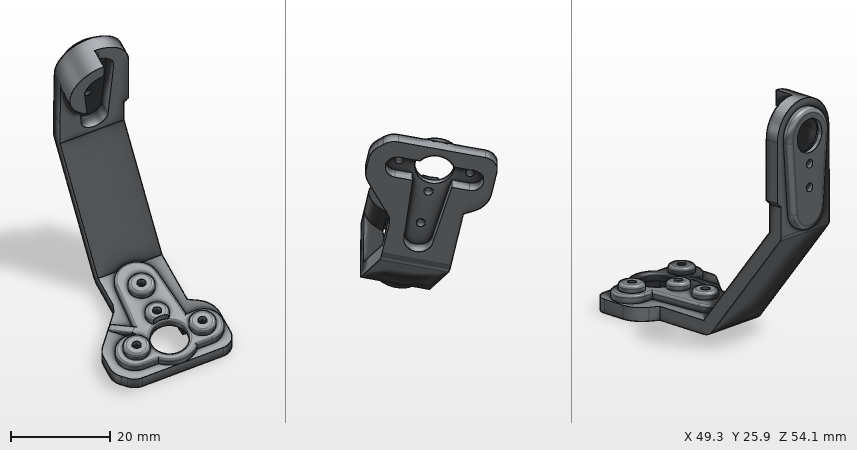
import cadquery as cq
import math

total_height = 54.05
base_end_x = 47.5
plate_thickness = 3.15
base_thickness = 2.95

strap_back_y = 7.6
strap_front_y = -6.55
inner_knee_z = 26.35
inner_foot_x = 21.45
strap_thickness = 3.0
upper_bend_radius = 1.5
lower_bend_radius = 2.95

upright_y = 1.15
upright_radius = 7.5
upright_hole_z = total_height - upright_radius
upright_flat_end_z = 33.45
upright_hole_diameter = 7.2
upright_recess_diameter = 8.0
upright_recess_depth = 0.75
upright_pin_drops = (6.0, 11.0)

collar_end_x = 7.5

pad_large_radius = 5.85
pad_small_radius = 4.6
pad_length = 15.6
pad_wall = 1.6
upright_pad_height = 1.8
upright_pad_fillet = 1.0
base_pad_height = 1.7
base_pad_fillet = 0.5

cross_arm_radius = 4.0
cross_arm_reach = 7.7

hub_x = base_end_x - pad_large_radius
hub_hole_diameter = 8.0
pin_hole_diameter = 1.8
boss_diameter = 5.5
small_boss_diameter = 4.95
boss_height = 1.5
boss_top_z = base_thickness + base_pad_height + boss_height
boss_fillet = 0.7
arm_pin_offset = 7.3
near_pin_offset = 6.0
far_pin_offset = 13.5
pin_places = (
    (hub_x, arm_pin_offset, boss_diameter),
    (hub_x, -arm_pin_offset, boss_diameter),
    (hub_x - near_pin_offset, 0, small_boss_diameter),
    (hub_x - far_pin_offset, 0, boss_diameter),
)

base_back_y = 12.2
base_front_y = -13.65
shoulder_start_x = 33.6
shoulder_top_x = 36.35
flare_start_x = 29.55
flare_end_x = 38.25
bevel_start_x = 44.15
bevel_end_y = -10.25
outline_radius = 4.0
shoulder_radius = 5.5
back_corner_radius = 2.95

ramp_width = 1.8
ramp_top_x = 37.0
ramp_top_y = -5.85
ramp_run = 5.2
ramp_landing = 1.5
ramp_edge_fillet = 0.25


def tapered_outline(plane, large_radius, small_radius):
    """Two circles joined by their tangents; the small one lies along -Y of the plane."""
    lean = math.asin((large_radius - small_radius) / pad_length)
    side_x = math.cos(lean)
    side_y = -math.sin(lean)
    return (
        cq.Workplane(plane)
        .moveTo(large_radius * side_x, large_radius * side_y)
        .threePointArc((0, large_radius), (-large_radius * side_x, large_radius * side_y))
        .lineTo(-small_radius * side_x, small_radius * side_y - pad_length)
        .threePointArc(
            (0, -pad_length - small_radius),
            (small_radius * side_x, small_radius * side_y - pad_length),
        )
        .close()
    )


def cylinder_x(radius, y, z, start_x, end_x):
    """Solid cylinder along X."""
    plane = cq.Plane((start_x, y, z), xDir=(0, 1, 0), normal=(1, 0, 0))
    return cq.Workplane(plane).circle(radius).extrude(end_x - start_x)


def cylinder_z(radius, x, y, start_z, end_z):
    """Solid cylinder along Z."""
    return cq.Workplane("XY", origin=(x, y, start_z)).circle(radius).extrude(end_z - start_z)


def base_cross_shape(start_z, height, inset):
    """Tapered arm plus two round-ended cross arms, all shrunk by the inset."""
    arm_plane = cq.Plane((hub_x, 0, start_z), xDir=(0, -1, 0), normal=(0, 0, 1))
    tapered_arm = tapered_outline(
        arm_plane, pad_large_radius - inset, pad_small_radius - inset
    ).extrude(height)
    arm_width = 2 * (cross_arm_radius - inset)
    cross_arms = (
        cq.Workplane("XY", origin=(hub_x, 0, start_z))
        .slot2D(2 * cross_arm_reach + arm_width, arm_width, 90)
        .extrude(height)
    )
    return tapered_arm.union(cross_arms)


def make_strap():
    """Bent strip: lower part of the upright, the slope and the start of the base."""
    slope = (inner_knee_z - base_thickness) / (inner_foot_x - plate_thickness)
    drop = strap_thickness * math.hypot(1, slope)
    outer_knee_z = inner_knee_z - drop + slope * plate_thickness
    outer_foot_x = outer_knee_z / slope
    strip = (
        cq.Workplane("XZ", origin=(0, strap_back_y, 0))
        .moveTo(0, upright_flat_end_z)
        .lineTo(0, outer_knee_z)
        .lineTo(outer_foot_x, 0)
        .lineTo(shoulder_start_x, 0)
        .lineTo(shoulder_start_x, base_thickness)
        .lineTo(inner_foot_x, base_thickness)
        .lineTo(plate_thickness, inner_knee_z)
        .lineTo(plate_thickness, upright_flat_end_z)
        .close()
        .extrude(strap_back_y - strap_front_y)
    )
    upper_bend = cq.NearestToPointSelector((0, upright_y, outer_knee_z))
    strip = strip.edges(upper_bend).fillet(upper_bend_radius)
    lower_bend = cq.NearestToPointSelector((outer_foot_x, upright_y, 0))
    return strip.edges(lower_bend).fillet(lower_bend_radius)


def make_upright_plate():
    """Round-topped plate, bevelled where its back edge steps in to the strap."""
    back_y = upright_y + upright_radius
    front_y = upright_y - upright_radius
    bevel = back_y - strap_back_y
    return (
        cq.Workplane("YZ")
        .moveTo(back_y, upright_hole_z)
        .threePointArc((upright_y, total_height), (front_y, upright_hole_z))
        .lineTo(strap_front_y, upright_flat_end_z)
        .lineTo(strap_front_y, upright_flat_end_z - bevel)
        .lineTo(strap_back_y, upright_flat_end_z - bevel)
        .lineTo(back_y, upright_flat_end_z)
        .close()
        .extrude(plate_thickness)
    )


def make_collar():
    """Front half of a round collar on the inner side of the upright plate."""
    collar = cylinder_x(upright_radius, upright_y, upright_hole_z, 0, collar_end_x)
    back_half = cq.Workplane("XY").box(
        collar_end_x, 2 * upright_radius, total_height, centered=False
    ).translate((0, upright_y, 0))
    return collar.cut(back_half)


def make_upright_pad():
    """Raised tapered pad with a rounded outer edge on the outer face of the upright."""
    plane = cq.Plane((0, upright_y, upright_hole_z), xDir=(0, -1, 0), normal=(-1, 0, 0))
    pad = tapered_outline(plane, pad_large_radius, pad_small_radius).extrude(upright_pad_height)
    return pad.faces("<X").edges().fillet(upright_pad_fillet)


def cut_upright_openings(body):
    """Tapered pocket behind the pad and through the collar, large hole and pin holes."""
    plane = cq.Plane((0, upright_y, upright_hole_z), xDir=(0, 1, 0), normal=(1, 0, 0))
    pocket = tapered_outline(
        plane, pad_large_radius - pad_wall, pad_small_radius - pad_wall
    ).extrude(collar_end_x)
    hole = cylinder_x(
        upright_hole_diameter / 2, upright_y, upright_hole_z, -upright_pad_height, 0
    )
    recess = cylinder_x(
        upright_recess_diameter / 2, upright_y, upright_hole_z, -upright_recess_depth, 0
    )
    body = body.cut(pocket).cut(hole).cut(recess)
    for drop in upright_pin_drops:
        body = body.cut(
            cylinder_x(
                pin_hole_diameter / 2, upright_y, upright_hole_z - drop,
                -upright_pad_height, plate_thickness,
            )
        )
    return body


def make_base_plate():
    """Flared plate with rounded outline corners."""
    corners = {
        (shoulder_top_x, base_back_y): shoulder_radius,
        (base_end_x, base_back_y): back_corner_radius,
        (base_end_x, bevel_end_y): outline_radius,
        (bevel_start_x, base_front_y): outline_radius,
        (flare_end_x, base_front_y): outline_radius,
        (flare_start_x, strap_front_y): outline_radius,
    }
    outline = [(inner_foot_x, strap_back_y), (shoulder_start_x, strap_back_y)]
    outline += list(corners)
    outline.append((inner_foot_x, strap_front_y))
    plate = cq.Workplane("XY").polyline(outline).close().extrude(base_thickness)
    for (x, y), radius in corners.items():
        corner = cq.NearestToPointSelector((x, y, base_thickness / 2))
        plate = plate.edges("|Z").edges(corner).fillet(radius)
    return plate


def make_base_pad():
    """Raised cross with rounded top edges around its outline and its hub hole."""
    pad = base_cross_shape(base_thickness, base_pad_height, 0)
    hole = cylinder_z(hub_hole_diameter / 2, hub_x, 0, 0, boss_top_z)
    return pad.cut(hole).faces(">Z").edges().fillet(base_pad_fillet)


def make_boss(x, y, diameter):
    """Round-edged boss on the base pad, kept clear of the hub hole's rounded rim."""
    pad_top = base_thickness + base_pad_height
    boss = cylinder_z(diameter / 2, x, y, pad_top - base_pad_fillet, boss_top_z)
    boss = boss.faces(">Z").edges().fillet(boss_fillet)
    rim_radius = hub_hole_diameter / 2 + base_pad_fillet
    return boss.cut(cylinder_z(rim_radius, hub_x, 0, 0, boss_top_z))


def make_ramp():
    """Narrow wedge that climbs to the pad top at 45 degrees to X, then runs level."""
    direction = cq.Vector(1, 1, 0).normalized()
    side = cq.Vector(-1, 1, 0).normalized()
    foot = cq.Vector(ramp_top_x, ramp_top_y, 0) - direction * ramp_run - side * (ramp_width / 2)
    profile = cq.Plane(foot, xDir=direction, normal=-side)
    wedge = (
        cq.Workplane(profile)
        .moveTo(0, base_thickness)
        .lineTo(ramp_run + ramp_landing, base_thickness)
        .lineTo(ramp_run + ramp_landing, base_thickness + base_pad_height)
        .lineTo(ramp_run, base_thickness + base_pad_height)
        .close()
        .extrude(-ramp_width)
    )
    for offset in (0, ramp_width):
        middle = foot + direction * (ramp_run / 2) + side * offset
        middle += cq.Vector(0, 0, base_thickness + base_pad_height / 2)
        wedge = wedge.edges(cq.NearestToPointSelector(middle.toTuple())).fillet(ramp_edge_fillet)
    return wedge


def cut_base_openings(body):
    """Cross-shaped pocket under the pad and the pin holes through the bosses."""
    body = body.cut(base_cross_shape(0, base_thickness, pad_wall))
    for x, y, _ in pin_places:
        body = body.cut(cylinder_z(pin_hole_diameter / 2, x, y, 0, boss_top_z))
    return body


body = make_strap().union(make_upright_plate()).union(make_collar()).union(make_upright_pad())
body = body.union(make_base_plate()).union(make_base_pad()).union(make_ramp())
for x, y, diameter in pin_places:
    body = body.union(make_boss(x, y, diameter))

result = cut_base_openings(cut_upright_openings(body))